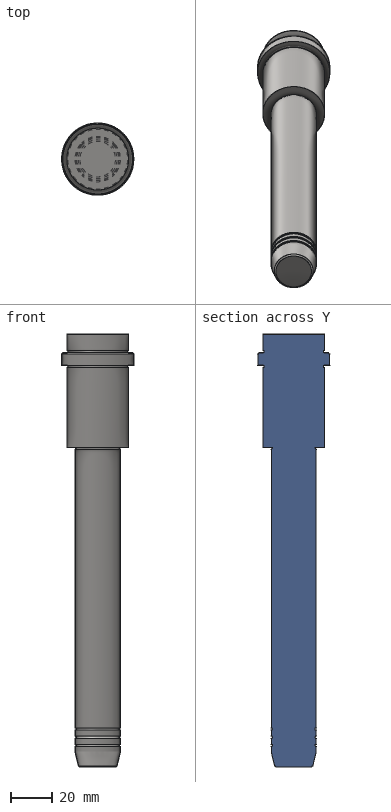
import cadquery as cq

total_length = 210.0
head_diameter = 30.0
collar_diameter = 35.0
shaft_diameter = 22.0

head_length = 55.0
collar_top_depth = 9.0
collar_thickness = 6.0
collar_chamfer = 0.6
relief_width = 1.0

shaft_chamfer = 0.8

tip_length = 7.4
tip_end_diameter = 18.5
tip_chamfer = 0.6
groove_count = 3
groove_pitch = 4.0
groove_width = 1.0
lowest_groove_height = 10.5

head_bottom = total_length - head_length
collar_top = total_length - collar_top_depth
collar_bottom = collar_top - collar_thickness


def cylinder(diameter, bottom, top):
    """Solid cylinder on the Z axis between two heights."""
    return cq.Workplane("XY").workplane(offset=bottom).circle(diameter / 2).extrude(top - bottom)


def ring_groove(diameter, center_height, width):
    """Cutting ring for a half-round groove in a cylinder of the given diameter."""
    return (
        cq.Workplane("XZ")
        .center(diameter / 2, center_height)
        .circle(width / 2)
        .revolve(360, (-diameter / 2, 0), (-diameter / 2, 1))
    )


def make_head():
    head = cylinder(head_diameter, head_bottom, total_length)
    for center in (collar_top + relief_width / 2, collar_bottom - relief_width / 2):
        head = head.cut(ring_groove(head_diameter, center, relief_width))
    collar = cylinder(collar_diameter, collar_bottom, collar_top).faces(">Z").chamfer(collar_chamfer)
    return head.union(collar)


def make_shaft():
    shaft = cylinder(shaft_diameter, tip_length, head_bottom).faces(">Z").chamfer(shaft_chamfer)
    for index in range(groove_count):
        center = lowest_groove_height + index * groove_pitch
        shaft = shaft.cut(ring_groove(shaft_diameter, center, groove_width))
    return shaft


def make_tip():
    tip = (
        cq.Workplane("XY")
        .circle(tip_end_diameter / 2)
        .workplane(offset=tip_length)
        .circle(shaft_diameter / 2)
        .loft(ruled=True)
    )
    return tip.faces("<Z").chamfer(tip_chamfer)


result = make_head().union(make_shaft()).union(make_tip())